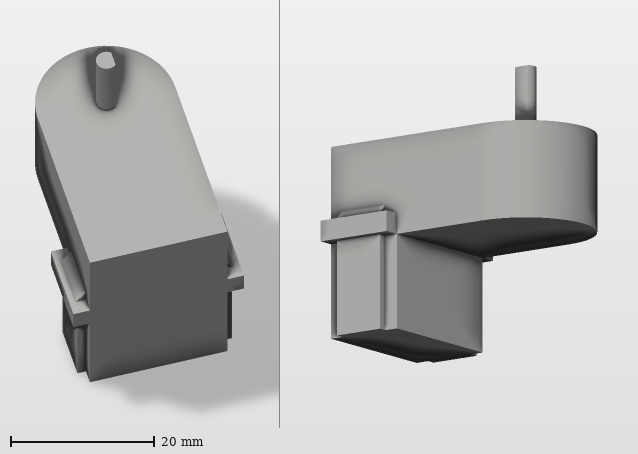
import cadquery as cq

body_length = 36.5
body_width = 20.0
body_height = 13.9
nose_radius = body_width / 2
rear_x = body_length - nose_radius

shaft_diameter = 3.0
shaft_length = 9.7
flat_offset = 1.0

connector_length = 11.5
connector_depth = 13.5
connector_x = rear_x - connector_length / 2
flange_width = 24.8
flange_height = 2.95
rib_length = 7.5
rib_span = 22.5
wedge_reach = 1.5
wedge_height = 1.55


def make_body():
    """D-ended block, rounded at -X."""
    return (
        cq.Workplane("XY")
        .moveTo(rear_x, -nose_radius)
        .lineTo(0, -nose_radius)
        .threePointArc((-nose_radius, 0), (0, nose_radius))
        .lineTo(rear_x, nose_radius)
        .close()
        .extrude(body_height)
    )


def make_shaft():
    """Round shaft standing on the body, trimmed to a D section."""
    shaft = (
        cq.Workplane("XY", origin=(0, 0, body_height))
        .circle(shaft_diameter / 2)
        .extrude(shaft_length)
    )
    keep_centre_y = flat_offset - shaft_diameter / 2
    keep = (
        cq.Workplane("XY", origin=(0, keep_centre_y, body_height))
        .rect(shaft_diameter, shaft_diameter)
        .extrude(shaft_length)
    )
    return shaft.intersect(keep)


def connector_box(length, width, height):
    """Box centred on the connector, raised (or lowered) from the body's underside."""
    return cq.Workplane("XY", origin=(connector_x, 0, 0)).rect(length, width).extrude(height)


def make_wedges():
    """Sloped gussets joining the flange top to both sides of the body."""
    half_base = nose_radius + wedge_reach
    return (
        cq.Workplane("YZ", origin=(connector_x, 0, flange_height))
        .moveTo(-half_base, 0)
        .lineTo(half_base, 0)
        .lineTo(nose_radius, wedge_height)
        .lineTo(-nose_radius, wedge_height)
        .close()
        .extrude(rib_length / 2, both=True)
    )


flange = connector_box(connector_length, flange_width, flange_height)
plug = connector_box(connector_length, body_width, -connector_depth)
ribs = connector_box(rib_length, rib_span, -connector_depth)

result = (
    make_body()
    .union(make_shaft())
    .union(flange)
    .union(plug)
    .union(ribs)
    .union(make_wedges())
)